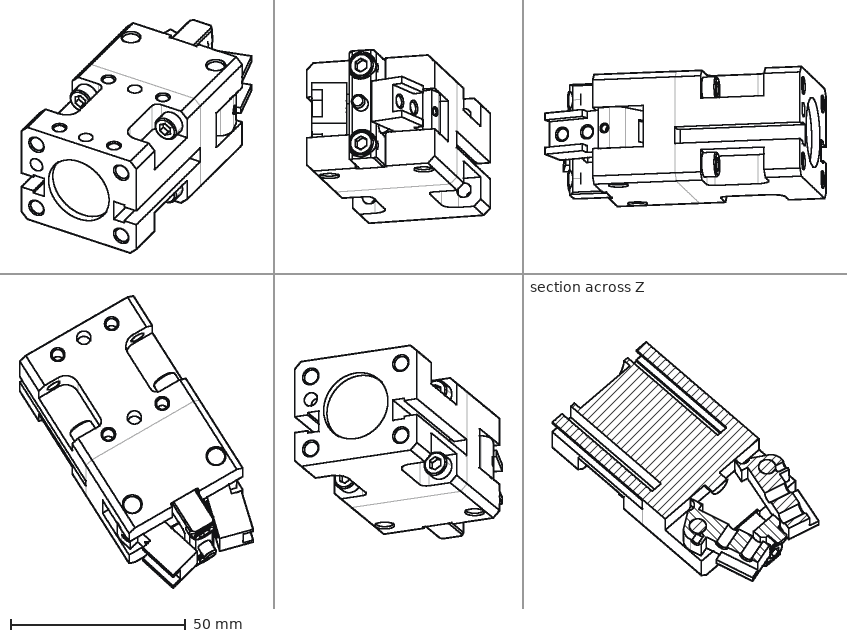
import cadquery as cq
import math


WIDTH = 38.0
HEIGHT = 32.0
EDGE_CHAMFER = 2.0
CYLINDER_LENGTH = 36.5
HEAD_LENGTH = 24.0
HEAD_FRONT = CYLINDER_LENGTH + HEAD_LENGTH
HALF_WIDTH = WIDTH / 2
HALF_HEIGHT = HEIGHT / 2
DRILL_POINT_ANGLE = 118.0

SCREW_X = 14.0
SCREW_Z = 11.0
SCREW_HEAD_DIA = 7.0
SCREW_HEAD_HEIGHT = 4.0
SCREW_HEAD_CHAMFER = 0.4
SOCKET_FLATS = 3.4
SOCKET_TURN = 30.0
SOCKET_DEPTH = 2.0

POCKET_Y_START = 10.5
POCKET_Y_END = 29.0
POCKET_INNER_X = 8.4
POCKET_DEPTH = 8.5
POCKET_REAR_RADIUS = 4.0
POCKET_FRONT_RADIUS = 2.0
SENSOR_SLOT_Z = -3.0
SENSOR_SLOT_MOUTH = 4.8
SENSOR_SLOT_INNER = 6.2
SENSOR_SLOT_LIP = 4.0
SENSOR_SLOT_DEPTH = 7.5
REAR_RECESS_DIA = 20.0
REAR_RECESS_DEPTH = 2.4
SCREW_ACCESS_DIA = 4.2
SCREW_ACCESS_MOUTH_DIA = 5.0
REAR_PORT_Z = 4.0
PORT_DIA = 4.0
PORT_DEPTH = 5.0
TOP_HOLE_PITCH_Y = 28.0
TOP_PORT_Y = 4.0
TOP_THREAD_X = 9.0
TOP_THREAD_Y = 4.5
THREAD_DIA = 3.3
THREAD_MOUTH_DIA = 4.1
TOP_THREAD_DEPTH = 7.0
ROD_DIA = 6.0
ROD_FRONT = 49.0

FINGER_THICKNESS = 12.0
FINGER_SLOT_BOTTOM = 45.8
PIVOT_X = 14.0
PIVOT_Y = 54.0
PIVOT_DIA = 5.0
PIVOT_MOUTH_DIA = 5.6
PIVOT_RECESS_DEPTH = 0.6
GROOVE_WIDTH = 9.0
GROOVE_DEPTH = 1.0

BRIDGE_WIDTH = 8.0
BRIDGE_FRONT = HEAD_FRONT + 10.0
BRIDGE_TOP_CHAMFER = 0.5
BRIDGE_FRONT_CHAMFER = 1.2
BRIDGE_WINDOW_HEIGHT = 14.0
BRIDGE_WINDOW_TOP = HEAD_FRONT + 6.0
BRIDGE_WINDOW_CHAMFER = 1.2
BRIDGE_SCREW_Z = 11.5
BRIDGE_BORE_DEPTH = 3.5
BOSS_DIA = 4.0
BOSS_LENGTH = 4.0
BOSS_CHAMFER = 0.5

FINGER_TILT = 15.0
FINGER_HALF_WIDTH = 5.0
FINGER_TIP_Y = 21.0
FLANGE_START_Y = 9.0
FLANGE_THICKNESS = 2.0
WEB_OUTER_X = -2.0
SHOULDER_Y = 4.0
ARM_CORNER_Y = -2.45
ARM_SLOPE = 18.0
ARM_TIP_X = 7.0
ARM_TOP_Y = -2.5
ARM_CORNER_RADIUS = 4.0
FORK_SLOT_X = 4.6
FORK_SLOT_END_Y = -6.1
FORK_SLOT_WIDTH = 3.8
FORK_SLOT_HEIGHT = 6.4
WEB_HOLE_Y = (9.0, 17.0)
SET_SCREW_Y = 2.0
SET_SCREW_DIA = 2.0
SET_SCREW_MOUTH_DIA = 2.7
SET_SCREW_DEPTH = 3.0


def box(x_range, y_range, z_range):
    """Block between the given limits on each axis."""
    size = [high - low for low, high in (x_range, y_range, z_range)]
    corner = (x_range[0], y_range[0], z_range[0])
    return cq.Workplane("XY").box(*size, centered=False).translate(corner)


def rod(diameter, start, direction, length):
    """Cylinder from a start point along a direction."""
    solid = cq.Solid.makeCylinder(diameter / 2, length, cq.Vector(*start), cq.Vector(*direction))
    return cq.Workplane(obj=solid)


def cone(start_dia, end_dia, start, direction, length):
    """Cone or frustum from a start point along a direction."""
    solid = cq.Solid.makeCone(
        start_dia / 2, end_dia / 2, length, cq.Vector(*start), cq.Vector(*direction)
    )
    return cq.Workplane(obj=solid)


def drilled_hole(diameter, start, direction, depth):
    """Cutter for a blind hole that ends in a drill point."""
    point_length = diameter / 2 / math.tan(math.radians(DRILL_POINT_ANGLE / 2))
    bottom = (cq.Vector(*start) + cq.Vector(*direction) * depth).toTuple()
    return rod(diameter, start, direction, depth).union(cone(diameter, 0, bottom, direction, point_length))


def countersink(mouth_dia, hole_dia, start, direction):
    """Cutter for a 45 degree chamfer at the mouth of a hole."""
    return cone(mouth_dia, hole_dia, start, direction, (mouth_dia - hole_dia) / 2)


def block(y_start, y_end):
    """Length of the chamfered housing section."""
    section = box((-HALF_WIDTH, HALF_WIDTH), (y_start, y_end), (-HALF_HEIGHT, HALF_HEIGHT))
    return section.edges("|Y").chamfer(EDGE_CHAMFER)


def screw_head():
    """Socket screw head seated at the origin and rising along +Z."""
    head = cq.Workplane("XY").circle(SCREW_HEAD_DIA / 2).extrude(SCREW_HEAD_HEIGHT)
    head = head.faces(">Z").chamfer(SCREW_HEAD_CHAMFER)
    corner_dia = SOCKET_FLATS / math.cos(math.pi / 6)
    socket_plane = head.faces(">Z").workplane().transformed(rotate=(0, 0, SOCKET_TURN))
    return socket_plane.polygon(6, corner_dia).cutBlind(-SOCKET_DEPTH)


def screw_pocket():
    """Cutter for the pocket around the screw at +X, +Z."""
    floor_z = HALF_HEIGHT - POCKET_DEPTH
    pocket = box((POCKET_INNER_X, HALF_WIDTH), (POCKET_Y_START, POCKET_Y_END), (floor_z, HALF_HEIGHT))
    pocket = pocket.edges("|Z and <X and <Y").fillet(POCKET_REAR_RADIUS)
    return pocket.edges("|Z and <X and >Y").fillet(POCKET_FRONT_RADIUS)


def sensor_slot():
    """Cutter for the T-shaped sensor slot on the +X side."""
    y_range = (0, CYLINDER_LENGTH)
    mouth_z = (SENSOR_SLOT_Z - SENSOR_SLOT_MOUTH / 2, SENSOR_SLOT_Z + SENSOR_SLOT_MOUTH / 2)
    inner_z = (SENSOR_SLOT_Z - SENSOR_SLOT_INNER / 2, SENSOR_SLOT_Z + SENSOR_SLOT_INNER / 2)
    inner_x = (HALF_WIDTH - SENSOR_SLOT_DEPTH, HALF_WIDTH - SENSOR_SLOT_LIP)
    mouth = box((inner_x[0], HALF_WIDTH), y_range, mouth_z)
    return mouth.union(box(inner_x, y_range, inner_z))


def top_holes():
    """Cutters for the two ports and four threaded holes in the top face."""
    cutters = []
    down = (0, 0, -1)
    for row in range(2):
        port = (0, TOP_PORT_Y + row * TOP_HOLE_PITCH_Y, HALF_HEIGHT)
        cutters.append(drilled_hole(PORT_DIA, port, down, PORT_DEPTH))
        for side in (-1, 1):
            thread = (side * TOP_THREAD_X, TOP_THREAD_Y + row * TOP_HOLE_PITCH_Y, HALF_HEIGHT)
            cutters.append(drilled_hole(THREAD_DIA, thread, down, TOP_THREAD_DEPTH))
            cutters.append(countersink(THREAD_MOUTH_DIA, THREAD_DIA, thread, down))
    return cutters


def cylinder_block():
    """Rear block with its four clamping screws and the piston rod."""
    forward = (0, 1, 0)
    body = block(0, CYLINDER_LENGTH)
    body = body.cut(rod(REAR_RECESS_DIA, (0, 0, 0), forward, REAR_RECESS_DEPTH))
    body = body.cut(drilled_hole(PORT_DIA, (-SCREW_X, 0, REAR_PORT_Z), forward, PORT_DEPTH))

    for cutter in top_holes():
        body = body.cut(cutter)

    slot = sensor_slot()
    body = body.cut(slot).cut(slot.mirror("YZ"))

    rearward_head = screw_head().rotate((0, 0, 0), (1, 0, 0), 90)
    pocket = screw_pocket()
    for x_side in (-1, 1):
        side_pocket = pocket if x_side > 0 else pocket.mirror("YZ")
        for z_side in (-1, 1):
            start = (x_side * SCREW_X, 0, z_side * SCREW_Z)
            body = body.cut(side_pocket if z_side > 0 else side_pocket.mirror("XY"))
            body = body.cut(rod(SCREW_ACCESS_DIA, start, forward, POCKET_Y_START))
            body = body.cut(countersink(SCREW_ACCESS_MOUTH_DIA, SCREW_ACCESS_DIA, start, forward))
            body = body.union(rearward_head.translate((start[0], POCKET_Y_END, start[2])))

    rod_length = ROD_FRONT - CYLINDER_LENGTH
    return body.union(rod(ROD_DIA, (0, CYLINDER_LENGTH, 0), forward, rod_length))


def head_block():
    """Front block with the finger slot, bridge groove and pivot pins."""
    half_finger = FINGER_THICKNESS / 2
    half_groove = GROOVE_WIDTH / 2
    body = block(CYLINDER_LENGTH, HEAD_FRONT)
    body = body.cut(
        box((-HALF_WIDTH, HALF_WIDTH), (FINGER_SLOT_BOTTOM, HEAD_FRONT), (-half_finger, half_finger))
    )
    groove_y = (HEAD_FRONT - GROOVE_DEPTH, HEAD_FRONT)
    body = body.cut(box((-half_groove, half_groove), groove_y, (-HALF_HEIGHT, HALF_HEIGHT)))
    body = body.cut(rod(ROD_DIA, (0, CYLINDER_LENGTH, 0), (0, 1, 0), HEAD_LENGTH))

    for side in (-1, 1):
        pivot_x = side * PIVOT_X
        body = body.union(rod(PIVOT_DIA, (pivot_x, PIVOT_Y, -half_finger), (0, 0, 1), FINGER_THICKNESS))
        for face in (-1, 1):
            start = (pivot_x, PIVOT_Y, face * HALF_HEIGHT)
            inward = (0, 0, -face)
            body = body.cut(cone(PIVOT_MOUTH_DIA, PIVOT_DIA, start, inward, PIVOT_RECESS_DEPTH))

    return body


def make_housing():
    """Cylinder block and head as one solid, keeping the joint line where their faces meet."""
    return cylinder_block().union(head_block(), clean=False)


def make_bridge():
    """Window-shaped bridge that stands in the front groove, with screws and a boss."""
    forward = (0, 1, 0)
    base_y = HEAD_FRONT - GROOVE_DEPTH
    half_width = BRIDGE_WIDTH / 2
    shoulder_y = BRIDGE_FRONT - BRIDGE_FRONT_CHAMFER
    face_half_width = half_width - BRIDGE_FRONT_CHAMFER
    outline = [
        (-half_width, base_y),
        (-half_width, shoulder_y),
        (-face_half_width, BRIDGE_FRONT),
        (face_half_width, BRIDGE_FRONT),
        (half_width, shoulder_y),
        (half_width, base_y),
    ]
    body = cq.Workplane("XY").workplane(offset=-HALF_HEIGHT).polyline(outline).close().extrude(HEIGHT)
    end_edges = "(>Z or <Z) and (>X or <X) and |Y"
    body = body.edges(end_edges).chamfer(BRIDGE_TOP_CHAMFER)

    half_window = BRIDGE_WINDOW_HEIGHT / 2
    window = box(
        (-half_width, half_width), (base_y, BRIDGE_WINDOW_TOP), (-half_window, half_window)
    )
    body = body.cut(window.edges("|X and >Y").chamfer(BRIDGE_WINDOW_CHAMFER))

    forward_head = screw_head().rotate((0, 0, 0), (1, 0, 0), -90)
    seat_y = BRIDGE_FRONT - BRIDGE_BORE_DEPTH
    for z in (-BRIDGE_SCREW_Z, BRIDGE_SCREW_Z):
        body = body.cut(rod(BRIDGE_WIDTH, (0, seat_y, z), forward, BRIDGE_BORE_DEPTH))
        body = body.union(forward_head.translate((0, seat_y, z)))

    boss = rod(BOSS_DIA, (0, BRIDGE_FRONT, 0), forward, BOSS_LENGTH)
    return body.union(boss.faces(">Y").chamfer(BOSS_CHAMFER))


def make_left_finger():
    """Finger on the -X side: flanged tip, pivot boss and forked lever arm."""
    half_finger = FINGER_THICKNESS / 2
    arm_reach = ARM_TIP_X + FINGER_HALF_WIDTH
    arm_tip_y = ARM_CORNER_Y - arm_reach * math.tan(math.radians(ARM_SLOPE))
    outline = [
        (-FINGER_HALF_WIDTH, SHOULDER_Y),
        (WEB_OUTER_X, SHOULDER_Y),
        (WEB_OUTER_X, FINGER_TIP_Y),
        (FINGER_HALF_WIDTH, FINGER_TIP_Y),
        (FINGER_HALF_WIDTH, ARM_TOP_Y),
        (ARM_TIP_X, ARM_TOP_Y),
        (ARM_TIP_X, arm_tip_y),
        (-FINGER_HALF_WIDTH, ARM_CORNER_Y),
    ]
    body = cq.Workplane("XY").workplane(offset=-half_finger).polyline(outline).close()
    body = body.extrude(FINGER_THICKNESS)
    arm_corner = cq.selectors.NearestToPointSelector((-FINGER_HALF_WIDTH, ARM_CORNER_Y, 0))
    body = body.edges("|Z").edges(arm_corner).fillet(ARM_CORNER_RADIUS)

    flange_x = (-FINGER_HALF_WIDTH, FINGER_HALF_WIDTH)
    flange_y = (FLANGE_START_Y, FINGER_TIP_Y)
    body = body.union(box(flange_x, flange_y, (half_finger - FLANGE_THICKNESS, half_finger)))
    body = body.union(box(flange_x, flange_y, (-half_finger, FLANGE_THICKNESS - half_finger)))

    inward = (1, 0, 0)
    web_thickness = FINGER_HALF_WIDTH - WEB_OUTER_X
    for y in WEB_HOLE_Y:
        start = (WEB_OUTER_X, y, 0)
        body = body.cut(rod(THREAD_DIA, start, inward, web_thickness))
        body = body.cut(countersink(THREAD_MOUTH_DIA, THREAD_DIA, start, inward))

    set_screw = (-FINGER_HALF_WIDTH, SET_SCREW_Y, 0)
    body = body.cut(drilled_hole(SET_SCREW_DIA, set_screw, inward, SET_SCREW_DEPTH))
    body = body.cut(countersink(SET_SCREW_MOUTH_DIA, SET_SCREW_DIA, set_screw, inward))
    body = body.cut(rod(PIVOT_DIA, (0, 0, -half_finger), (0, 0, 1), FINGER_THICKNESS))

    half_slot = FORK_SLOT_WIDTH / 2
    half_fork = FORK_SLOT_HEIGHT / 2
    slot_x = (FORK_SLOT_X - half_slot, FORK_SLOT_X + half_slot)
    slot_y = (arm_tip_y, FORK_SLOT_END_Y)
    fork_slot = box(slot_x, slot_y, (-half_fork, half_fork))
    slot_end = rod(FORK_SLOT_WIDTH, (FORK_SLOT_X, FORK_SLOT_END_Y, -half_fork), (0, 0, 1), FORK_SLOT_HEIGHT)
    body = body.cut(fork_slot).cut(slot_end)

    body = body.rotate((0, 0, 0), (0, 0, 1), -FINGER_TILT)
    return body.translate((-PIVOT_X, PIVOT_Y, 0))


housing = make_housing()
bridge = make_bridge()
left_finger = make_left_finger()
right_finger = left_finger.mirror("YZ")

result = cq.Compound.makeCompound(
    [housing.val(), bridge.val(), left_finger.val(), right_finger.val()]
)